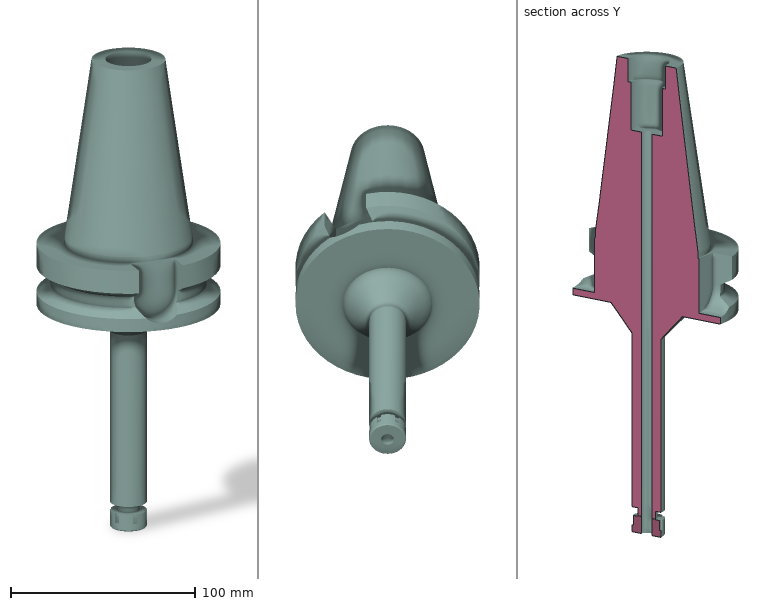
import cadquery as cq

total_height = 266.8

taper_ratio = 7 / 24
taper_length = 102.0
gauge_dia = 70.0
collar_height = 3.0
taper_top_dia = gauge_dia - taper_ratio * taper_length

flange_dia = 100.0
flange_height = 35.0
groove_dia = 85.0
groove_top_depth = 13.0
groove_floor_top_depth = 17.0
groove_floor_bottom_depth = 23.5
groove_bottom_depth = 27.5

slot_width = 25.5
slot_depth = 31.0
slot_floor_x = 35.5

cone_dia = 48.5
shank_dia = 20.0
neck_dia = 12.0
neck_height = 4.5
cone_height = 15.0

counterbore_dia = 25.0
counterbore_depth = 13.0
thread_bore_dia = 21.0
thread_bore_depth = 40.0
through_bore_dia = 7.0

nut_dia = shank_dia
nut_height = 9.5
nut_chamfer = 0.5
notch_count = 6
notch_width = 2.7
notch_height = 5.5
notch_depth = 1.0

gauge_z = total_height - taper_length
flange_top_z = gauge_z - collar_height
flange_bottom_z = flange_top_z - flange_height
cone_bottom_z = flange_bottom_z - cone_height
neck_bottom_z = nut_height
shank_bottom_z = neck_bottom_z + neck_height


def bore(diameter, bottom_z, top_z):
    """Cylinder on the Z axis between two heights, used as a cutter."""
    return cq.Workplane("XY", origin=(0, 0, bottom_z)).circle(diameter / 2).extrude(top_z - bottom_z)


def holder_blank():
    """Taper, flange, cone, shank and neck turned as one piece."""
    profile = [
        (0, neck_bottom_z),
        (neck_dia / 2, neck_bottom_z),
        (neck_dia / 2, shank_bottom_z),
        (shank_dia / 2, shank_bottom_z),
        (shank_dia / 2, cone_bottom_z),
        (cone_dia / 2, flange_bottom_z),
        (flange_dia / 2, flange_bottom_z),
        (flange_dia / 2, flange_top_z - groove_bottom_depth),
        (groove_dia / 2, flange_top_z - groove_floor_bottom_depth),
        (groove_dia / 2, flange_top_z - groove_floor_top_depth),
        (flange_dia / 2, flange_top_z - groove_top_depth),
        (flange_dia / 2, flange_top_z),
        (gauge_dia / 2, flange_top_z),
        (gauge_dia / 2, gauge_z),
        (taper_top_dia / 2, total_height),
        (0, total_height),
    ]
    return cq.Workplane("YZ").polyline(profile).close().revolve(360, (0, 0, 0), (0, 1, 0))


def drive_slot(side):
    """Cutter for one round-bottomed drive slot; side is -1 or +1 along X."""
    half_width = slot_width / 2
    slot_bottom_z = flange_top_z - slot_depth
    arc_z = slot_bottom_z + half_width
    return (
        cq.Workplane("YZ", origin=(side * slot_floor_x, 0, 0))
        .moveTo(-half_width, flange_top_z)
        .lineTo(-half_width, arc_z)
        .threePointArc((0, slot_bottom_z), (half_width, arc_z))
        .lineTo(half_width, flange_top_z)
        .close()
        .extrude(side * flange_dia / 2)
    )


def make_holder():
    holder = holder_blank()
    for side in (-1, 1):
        holder = holder.cut(drive_slot(side))
    holder = holder.cut(bore(counterbore_dia, total_height - counterbore_depth, total_height))
    holder = holder.cut(bore(thread_bore_dia, total_height - thread_bore_depth, total_height))
    return holder.cut(bore(through_bore_dia, neck_bottom_z, total_height))


def nut_notch(angle):
    """Cutter for one wrench notch, open at the nut's upper face and rim."""
    floor_radius = nut_dia / 2 - notch_depth
    return (
        cq.Workplane("XY")
        .box(nut_dia, notch_width, notch_height, centered=(False, True, False))
        .translate((floor_radius, 0, nut_height - notch_height))
        .rotate((0, 0, 0), (0, 0, 1), angle)
    )


def make_nut():
    nut = cq.Workplane("XY").circle(nut_dia / 2).extrude(nut_height)
    nut = nut.faces("<Z").chamfer(nut_chamfer)
    for index in range(notch_count):
        nut = nut.cut(nut_notch(index * 360 / notch_count))
    return nut.cut(bore(through_bore_dia, 0, nut_height))


holder = make_holder()
nut = make_nut()

result = cq.Compound.makeCompound([holder.val(), nut.val()])